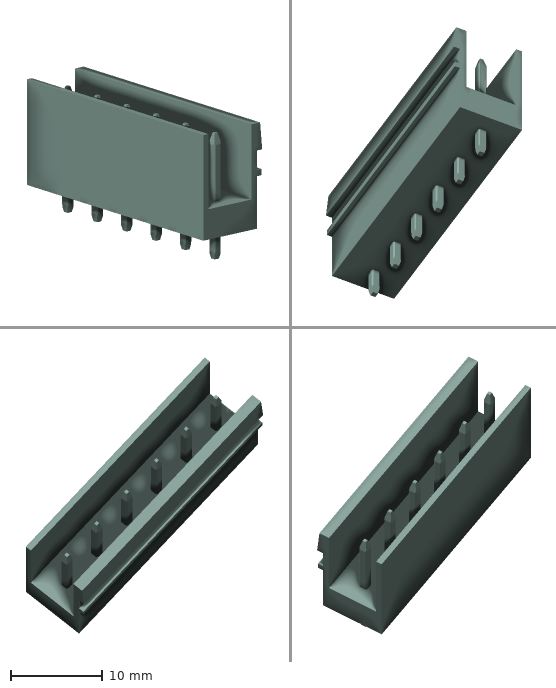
import cadquery as cq

PIN_COUNT = 6
HOUSING_LENGTH = 30.0
PIN_PITCH = HOUSING_LENGTH / PIN_COUNT

HOUSING_HEIGHT = 12.0
HOUSING_DEPTH = 7.68
FLOOR_THICKNESS = 3.45
FRONT_WALL = 0.72
BACK_WALL = 0.8

HOOK_REACH = 0.75
HOOK_TOP_REACH = 0.45
HOOK_BOTTOM = 8.88
RIB_REACH = 0.63
RIB_BOTTOM = 5.97
RIB_HEIGHT = 0.72

PIN_WIDTH = 1.02
PIN_BEVEL = 0.15
PIN_Y = 3.78
PIN_BOTTOM = -3.2
PIN_TOP = 11.1
LOWER_TIP_HEIGHT = 0.95
LOWER_TIP_WIDTH = 0.6
UPPER_TIP_HEIGHT = 1.25
UPPER_TIP_WIDTH = 0.4


def pin_positions():
    first_x = -(PIN_COUNT - 1) * PIN_PITCH / 2
    return [(first_x + index * PIN_PITCH, PIN_Y) for index in range(PIN_COUNT)]


def bevelled_bar(bottom, top):
    """Square bar on the Z axis with its four long edges bevelled."""
    bar = cq.Workplane("XY").workplane(offset=bottom).rect(PIN_WIDTH, PIN_WIDTH).extrude(top - bottom)
    return bar.edges("|Z").chamfer(PIN_BEVEL)


def tapered_block(base_z, tip_z, tip_width):
    """Square block that narrows from the pin width at base_z to tip_width at tip_z."""
    base = cq.Workplane("XY").workplane(offset=base_z).rect(PIN_WIDTH, PIN_WIDTH)
    return base.workplane(offset=tip_z - base_z).rect(tip_width, tip_width).loft(ruled=True)


def make_pin():
    """One pin on the Z axis; the flat taper faces cut across the bevels near the tips."""
    lower_base = PIN_BOTTOM + LOWER_TIP_HEIGHT
    upper_base = PIN_TOP - UPPER_TIP_HEIGHT
    shank_section = cq.Workplane("XY").workplane(offset=lower_base).rect(PIN_WIDTH, PIN_WIDTH)
    envelope = shank_section.extrude(upper_base - lower_base)
    envelope = envelope.union(tapered_block(lower_base, PIN_BOTTOM, LOWER_TIP_WIDTH))
    envelope = envelope.union(tapered_block(upper_base, PIN_TOP, UPPER_TIP_WIDTH))
    return bevelled_bar(PIN_BOTTOM, PIN_TOP).intersect(envelope)


def make_housing():
    """Channel with hook and rib, extruded from a (Y, Z) profile and pierced by the pin holes."""
    slot_back = HOUSING_DEPTH - BACK_WALL
    profile = [
        (0, 0),
        (0, HOUSING_HEIGHT),
        (FRONT_WALL, HOUSING_HEIGHT),
        (FRONT_WALL, FLOOR_THICKNESS),
        (slot_back, FLOOR_THICKNESS),
        (slot_back, HOUSING_HEIGHT),
        (HOUSING_DEPTH + HOOK_TOP_REACH, HOUSING_HEIGHT),
        (HOUSING_DEPTH + HOOK_REACH, HOOK_BOTTOM),
        (HOUSING_DEPTH, HOOK_BOTTOM),
        (HOUSING_DEPTH, RIB_BOTTOM + RIB_HEIGHT),
        (HOUSING_DEPTH + RIB_REACH, RIB_BOTTOM + RIB_HEIGHT),
        (HOUSING_DEPTH + RIB_REACH, RIB_BOTTOM),
        (HOUSING_DEPTH, RIB_BOTTOM),
        (HOUSING_DEPTH, 0),
    ]
    channel = cq.Workplane("YZ").polyline(profile).close().extrude(HOUSING_LENGTH / 2, both=True)
    pin_hole = bevelled_bar(0, FLOOR_THICKNESS)
    for x, y in pin_positions():
        channel = channel.cut(pin_hole.translate((x, y, 0)))
    return channel


housing = make_housing().solids().val()

pin = make_pin().solids().val()
pins = [pin.translate(cq.Vector(x, y, 0)) for x, y in pin_positions()]

result = cq.Compound.makeCompound([housing, *pins])